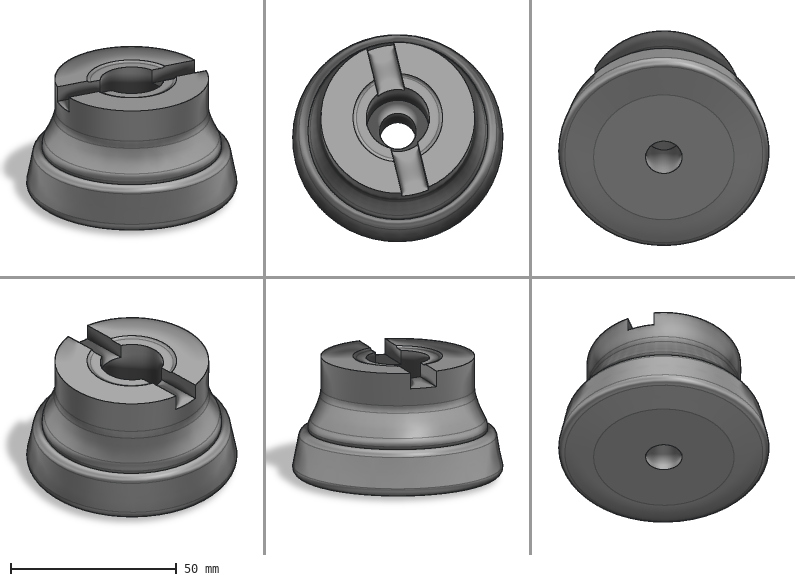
import cadquery as cq
import math

base_diameter = 63.45
base_height = 15.5
base_tilt = math.radians(11.0)
base_round = 2.3
underside_flat_diameter = 42.4
through_hole_diameter = 11.0

neck_height = 22.65
neck_diameter = 46.45
collar_diameter = 54.2
bore_diameter = 19.05

collar_straight_height = 0.75
flare_bottom_height = 3.25
flare_bottom_radius = 26.45
flare_top_height = 10.35
flare_top_radius = 23.55
neck_straight_bottom = 12.6

slot_width = 8.25
slot_depth = 4.8
recess_diameter = 27.0
recess_floor_diameter = 25.0
recess_depth = 0.5


rim_center_radius = base_diameter / 2 - base_round
rim_center_height = (
    base_round / math.cos(base_tilt)
    + (rim_center_radius - underside_flat_diameter / 2) * math.tan(base_tilt)
)
crest_center_height = base_height - base_round
crest_center_radius = rim_center_radius - (crest_center_height - rim_center_height) * math.tan(base_tilt)

collar_inset = crest_center_radius - collar_diameter / 2
seat_height = crest_center_height + math.sqrt(base_round**2 - collar_inset**2)


def point_on_round(center_radius, center_height, angle):
    """Point on a rounding, at an angle measured up from the outward direction."""
    return (
        center_radius + base_round * math.cos(angle),
        center_height + base_round * math.sin(angle),
    )


def make_base():
    """Revolve the tapered base with its rounded rim and crest."""
    hole_radius = through_hole_diameter / 2
    rim_start = point_on_round(rim_center_radius, rim_center_height, base_tilt - math.pi / 2)
    rim_middle = point_on_round(rim_center_radius, rim_center_height, 0)
    rim_end = point_on_round(rim_center_radius, rim_center_height, base_tilt)
    crest_start = point_on_round(crest_center_radius, crest_center_height, base_tilt)
    crest_top = point_on_round(crest_center_radius, crest_center_height, math.pi / 2)

    return (
        cq.Workplane("XZ")
        .moveTo(hole_radius, 0)
        .lineTo(underside_flat_diameter / 2, 0)
        .lineTo(*rim_start)
        .threePointArc(rim_middle, rim_end)
        .lineTo(*crest_start)
        .threePointArc(crest_top, (collar_diameter / 2, seat_height))
        .lineTo(hole_radius, seat_height)
        .close()
        .revolve(360, (0, 0, 0), (0, 1, 0))
    )


def make_neck_blank():
    """Revolve the bored neck, its flare and the shallow recess in its top."""
    neck_radius = neck_diameter / 2
    collar_radius = collar_diameter / 2
    bore_radius = bore_diameter / 2
    seat_level = seat_height - base_height
    recess_floor = neck_height - recess_depth

    return (
        cq.Workplane("XZ", origin=(0, 0, base_height))
        .moveTo(bore_radius, recess_floor)
        .lineTo(recess_floor_diameter / 2, recess_floor)
        .tangentArcPoint((recess_diameter / 2, neck_height), relative=False)
        .lineTo(neck_radius, neck_height)
        .lineTo(neck_radius, neck_straight_bottom)
        .tangentArcPoint((flare_top_radius, flare_top_height), relative=False)
        .tangentArcPoint((flare_bottom_radius, flare_bottom_height), relative=False)
        .tangentArcPoint((collar_radius, collar_straight_height), relative=False)
        .lineTo(collar_radius, seat_level)
        .lineTo(bore_radius, seat_level)
        .close()
        .revolve(360, (0, 0, 0), (0, 1, 0))
    )


def make_slot_cutter():
    """Bar along Y that cuts the driving slot across the top of the neck."""
    total_height = base_height + neck_height
    return (
        cq.Workplane("XY", origin=(0, 0, total_height - slot_depth))
        .rect(slot_width, base_diameter)
        .extrude(slot_depth)
    )


base = make_base()
neck = make_neck_blank().cut(make_slot_cutter())

result = cq.Compound.makeCompound([base.solids().val(), neck.solids().val()])